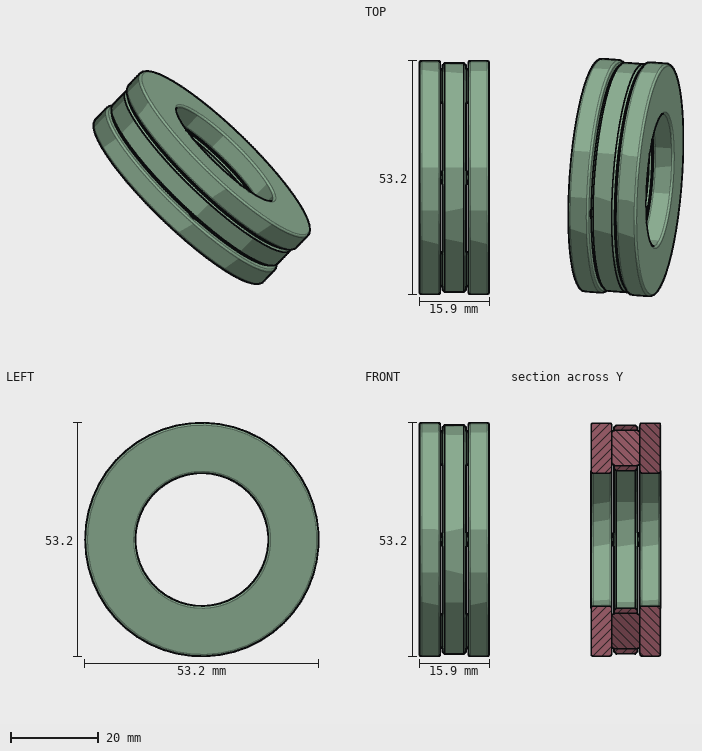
import cadquery as cq

bearing_width = 15.875
outer_diameter = 53.18
bore_diameter = 30.16

roller_diameter = 6.35
roller_length = 7.94
roller_edge_fillet = 0.5
roller_count = 4

washer_edge_fillet = 0.51
washer_thickness = (bearing_width - roller_diameter) / 2

cage_width = 5.4
cage_edge_chamfer = 0.54
cage_outer_diameter = outer_diameter - 2 * washer_edge_fillet
cage_bore_diameter = bore_diameter + 2 * washer_edge_fillet

pitch_radius = (outer_diameter + bore_diameter) / 4
roller_inner_end = pitch_radius - roller_length / 2
roller_angles = [index * 360 / roller_count for index in range(roller_count)]


def make_ring(start_x, width, ring_outer_diameter, ring_bore_diameter):
    """Plain ring around the X axis, reaching from start_x toward +X."""
    return (
        cq.Workplane("YZ", origin=(start_x, 0, 0))
        .circle(ring_outer_diameter / 2)
        .circle(ring_bore_diameter / 2)
        .extrude(width)
    )


def make_washer(start_x):
    """Flat washer with all four circular edges rounded."""
    ring = make_ring(start_x, washer_thickness, outer_diameter, bore_diameter)
    return ring.faces("|X").edges().fillet(washer_edge_fillet)


def make_roller(angle):
    """Cylindrical roller lying along a radius, turned about X to the given angle."""
    return (
        cq.Workplane("XY", origin=(0, 0, roller_inner_end))
        .circle(roller_diameter / 2)
        .extrude(roller_length)
        .faces("|Z")
        .edges()
        .fillet(roller_edge_fillet)
        .rotate((0, 0, 0), (1, 0, 0), angle)
    )


def make_cage(rollers):
    """Chamfered ring with a pocket that fits around each roller."""
    ring = make_ring(-cage_width / 2, cage_width, cage_outer_diameter, cage_bore_diameter)
    cage = ring.faces("|X").edges().chamfer(cage_edge_chamfer)
    for roller in rollers:
        cage = cage.cut(roller)
    return cage


washers = [make_washer(start_x) for start_x in (-bearing_width / 2, roller_diameter / 2)]
rollers = [make_roller(angle) for angle in roller_angles]
cage = make_cage(rollers)

result = cq.Compound.makeCompound(
    [
        *[washer.val() for washer in washers],
        cage.val(),
        *[roller.val() for roller in rollers],
    ]
)